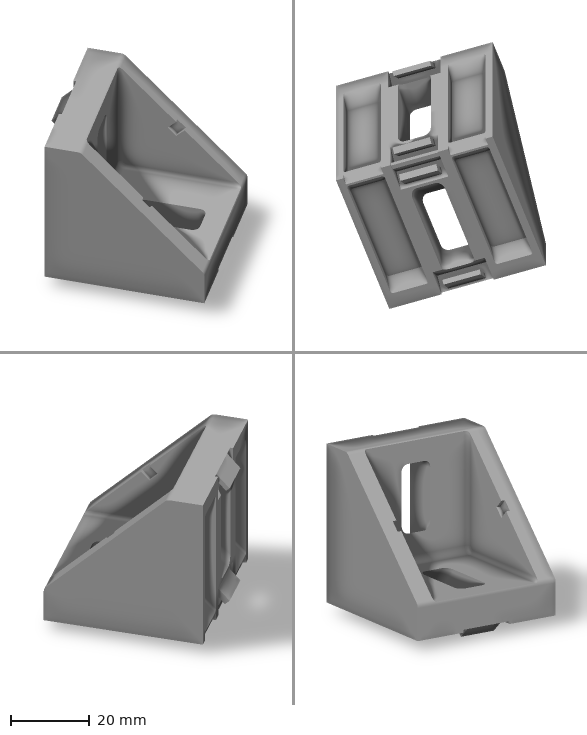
import cadquery as cq

leg = 42.0
wall = 9.5
side_wall = 5.05
rim_radius = 1.8
corner_radius = 1.95
cavity_radius = 1.05

slot_width = 8.8
slot_top = 35.9
slot_outer_bottom = 8.9
slot_inner_bottom = 17.5
slot_radius = 1.95

pocket_bottom = 2.63
pocket_top = 37.7
pocket_depth = 3.25
pocket_width = 10.05
pocket_edge = 1.95
pocket_radius = 0.6
edge_chamfer = 2.0

tab_width = 10.0
tab_angle = 47
tab_reach = 2.5
tab_length = 5.8
upper_tab_tip = 37.7
upper_tab_thickness = 1.3
lower_tab_tip = 3.8
lower_tab_thickness = 1.75

upper_recess_width = 14.0
upper_recess_roof = 42.75
upper_recess_floor = 34.85
lower_recess_width = 12.73
lower_recess_roof = 8.05
lower_recess_floor = 1.2
lip = 0.5

notch_length = 3.15
notch_depth = 3.15
notch_width = 1.1

cavity_width = leg - 2 * side_wall


def prism(points, width, center_y=0.0):
    """Extrude an XZ outline symmetrically about center_y."""
    return (
        cq.Workplane("XZ", origin=(0, center_y, 0))
        .polyline(points)
        .close()
        .extrude(width / 2, both=True)
    )


def on_other_leg(shape):
    """Mirror across the plane X = Z."""
    return shape.mirror(cq.Vector(1, 0, -1))


def make_body():
    outline = [(0, 0), (leg, 0), (leg, wall), (wall, leg), (0, leg)]
    body = prism(outline, leg)
    for x, z in [(leg, wall), (wall, leg)]:
        body = body.edges(cq.selectors.NearestToPointSelector((x, 0, z))).fillet(rim_radius)
    return body


def make_cavity():
    size = leg
    cavity = cq.Workplane("XY").box(size, cavity_width, size, centered=(False, True, False))
    cavity = cavity.translate((wall, 0, wall))
    cavity = cavity.edges("|Y and <X and <Z").fillet(corner_radius)
    return cavity.faces("<Y or >Y").edges("<X or <Z").fillet(cavity_radius)


def make_notches():
    notch = cq.Workplane("XY").box(notch_length, cavity_width + 2 * notch_width, 2 * notch_depth)
    rim_middle = (leg + wall) / 2
    return notch.rotate((0, 0, 0), (0, 1, 0), 45).translate((rim_middle, 0, rim_middle))


def make_slot():
    outline = [(0, slot_outer_bottom), (wall, slot_inner_bottom), (wall, slot_top), (0, slot_top)]
    return prism(outline, slot_width).edges("not(|Y or |Z)").fillet(slot_radius)


def make_pocket(center_y):
    outline = [
        (0, pocket_bottom),
        (pocket_depth, pocket_bottom + pocket_depth),
        (pocket_depth, pocket_top - pocket_depth),
        (0, pocket_top),
    ]
    return prism(outline, pocket_width, center_y).edges("not(|Y or |Z)").fillet(pocket_radius)


def make_recess(roof, floor, width):
    """V-shaped recess with a roof and a floor at 45 degrees."""
    depth = (roof - floor) / 2
    return prism([(0, floor), (depth, floor + depth), (0, roof)], width)


def make_tab(tip_height, thickness):
    """Slanted strip running from its outermost edge up into the body behind the recess."""
    strip = cq.Workplane("XY").box(tab_length, tab_width, thickness, centered=(False, True, False))
    strip = strip.translate((0, 0, -thickness))
    return strip.rotate((0, 0, 0), (0, 1, 0), -tab_angle).translate((-tab_reach, 0, tip_height))


pocket_y = leg / 2 - pocket_edge - pocket_width / 2

result = make_body().cut(make_cavity()).cut(make_notches())

leg_cuts = [
    make_slot(),
    make_recess(upper_recess_roof, upper_recess_floor, upper_recess_width),
    make_recess(lower_recess_roof, lower_recess_floor, lower_recess_width),
    make_pocket(-pocket_y),
    make_pocket(pocket_y),
]
for cutter in leg_cuts:
    result = result.cut(cutter).cut(on_other_leg(cutter))

for y in (-pocket_y, pocket_y):
    result = result.cut(prism([(0, 0), (edge_chamfer, 0), (0, edge_chamfer)], pocket_width, y))
lip_end = lower_recess_floor + lip
lip_outline = [(0, 0), (lip_end, 0), (lip_end, lip), (lip, lip), (lip, lip_end), (0, lip_end)]
result = result.cut(prism(lip_outline, lower_recess_width))

tabs = [
    make_tab(upper_tab_tip, upper_tab_thickness),
    make_tab(lower_tab_tip, lower_tab_thickness),
]
for tab in tabs:
    result = result.union(tab).union(on_other_leg(tab))